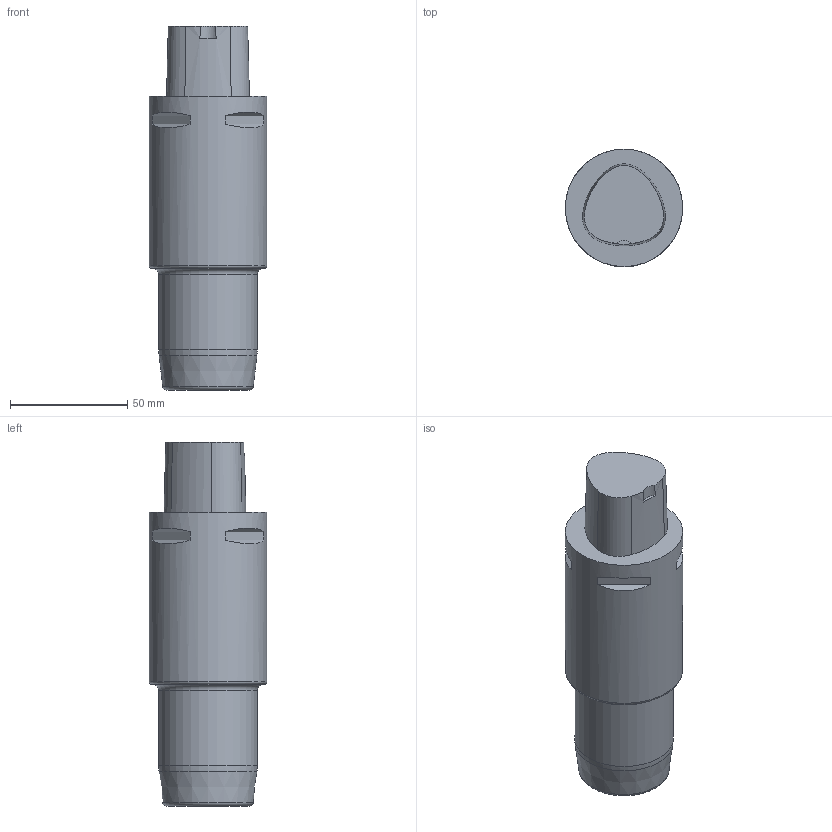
import cadquery as cq
import math

flange_z = 0.0
shank_length = 30.0
body_length = 125.0
bottom_z = flange_z - body_length

collar_diameter = 50.0
collar_length = 73.25
collar_edge_radius = 1.25
neck_diameter = 42.0
neck_fillet = 2.5
nose_length = 16.0
nose_diameter = 38.2
nose_blend_radius = 20.0
nose_edge_radius = 1.5

shank_mean_diameter = 34.9
shank_eccentricity = 1.3
shank_taper = 1 / 20
lobe_sections = 6
points_per_section = 7

notch_radius = 4.8
notch_apex_y = -13.9
notch_depth = 5.3

groove_count = 4
groove_start_angle = 45.0
groove_center_z = flange_z - 10.0
groove_floor_width = 3.7
groove_floor_radius = 22.2
groove_wall_angle = 28.0
groove_cutter_margin = 1.0


def turned_body():
    collar_radius = collar_diameter / 2
    neck_radius = neck_diameter / 2
    nose_radius = nose_diameter / 2
    shoulder_z = flange_z - collar_length
    nose_top_z = bottom_z + nose_length

    nose_angle = math.atan2(neck_radius - nose_radius, nose_length)
    blend_tangent = nose_blend_radius * math.tan(nose_angle / 2)
    blend_end = (
        neck_radius - blend_tangent * math.sin(nose_angle),
        nose_top_z - blend_tangent * math.cos(nose_angle),
    )

    profile = (
        cq.Workplane("XZ")
        .moveTo(0, bottom_z)
        .lineTo(nose_radius, bottom_z)
        .lineTo(*blend_end)
        .radiusArc((neck_radius, nose_top_z + blend_tangent), -nose_blend_radius)
        .lineTo(neck_radius, shoulder_z - neck_fillet)
        .radiusArc((neck_radius + neck_fillet, shoulder_z), neck_fillet)
        .lineTo(collar_radius - collar_edge_radius, shoulder_z)
        .radiusArc((collar_radius, shoulder_z + collar_edge_radius), -collar_edge_radius)
        .lineTo(collar_radius, flange_z)
        .lineTo(0, flange_z)
        .close()
    )
    body = profile.revolve(360, (0, 0, 0), (0, 1, 0))
    return body.faces("<Z").edges().fillet(nose_edge_radius)


def lobe_point(angle, mean_radius, z):
    """Point of the hypotrochoid whose three lobes include one on +Y."""
    x = mean_radius * math.sin(angle) - shank_eccentricity * math.sin(2 * angle)
    y = mean_radius * math.cos(angle) + shank_eccentricity * math.cos(2 * angle)
    return cq.Vector(x, y, z)


def lobe_tangent(angle, mean_radius):
    x = mean_radius * math.cos(angle) - 2 * shank_eccentricity * math.cos(2 * angle)
    y = -mean_radius * math.sin(angle) - 2 * shank_eccentricity * math.sin(2 * angle)
    return cq.Vector(x, y, 0)


def lobe_wire(mean_radius, z):
    """Closed outline, split midway between each lobe tip and the flats beside it."""
    section_angle = 2 * math.pi / lobe_sections
    edges = []
    for section in range(lobe_sections):
        start = (section + 0.5) * section_angle
        step = section_angle / (points_per_section - 1)
        angles = [start + step * index for index in range(points_per_section)]
        points = [lobe_point(angle, mean_radius, z) for angle in angles]
        tangents = [lobe_tangent(angle, mean_radius) for angle in (angles[0], angles[-1])]
        edges.append(cq.Edge.makeSpline(points, tangents=tangents))
    return cq.Wire.assembleEdges(edges)


def polygon_shank():
    base_radius = shank_mean_diameter / 2
    tip_radius = base_radius - shank_taper * shank_length / 2
    base = lobe_wire(base_radius, flange_z)
    tip = lobe_wire(tip_radius, flange_z + shank_length)
    return cq.Workplane(cq.Solid.makeLoft([base, tip], True))


def orientation_notch():
    return (
        cq.Workplane("XY", origin=(0, notch_apex_y - notch_radius, flange_z + shank_length))
        .circle(notch_radius)
        .extrude(-notch_depth)
    )


def gripper_groove(angle):
    """Straight trapezoidal groove, cut across the collar at the given direction."""
    outer_radius = collar_diameter / 2 + groove_cutter_margin
    floor_half = groove_floor_width / 2
    flare = (outer_radius - groove_floor_radius) * math.tan(math.radians(groove_wall_angle))
    mouth_half = floor_half + flare
    return (
        cq.Workplane("XZ", origin=(0, 0, groove_center_z))
        .moveTo(groove_floor_radius, -floor_half)
        .lineTo(outer_radius, -mouth_half)
        .lineTo(outer_radius, mouth_half)
        .lineTo(groove_floor_radius, floor_half)
        .close()
        .extrude(collar_diameter / 2, both=True)
        .rotate((0, 0, 0), (0, 0, 1), angle)
    )


result = turned_body().union(polygon_shank()).cut(orientation_notch())
for index in range(groove_count):
    result = result.cut(gripper_groove(groove_start_angle + index * 360 / groove_count))